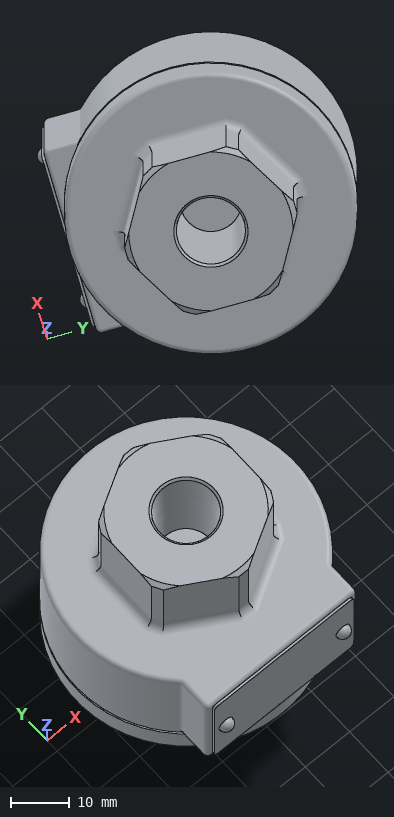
import cadquery as cq
import math

total_height = 55.0
flange_bottom = 11.5
flange_top = 17.5
body_bottom = 18.2
body_top = 39.0
body_height = body_top - body_bottom

disc_radius = 50.0 / 2
edge_radius = 1.0
underside_inset = 2.2

pad_width = 34.0
pad_bottom_radius = 0.7

plate_width = 31.5
plate_height = 20.0
plate_thickness = 0.5
plate_center_z = 28.5
pin_head_radius = 1.51
pin_spacing = 26.4

hex_across_flats = 27.05
hex_across_corners = 30.0
hex_root_radius = 2.0
end_face_radius = 14.0
end_chamfer_angle = 30.0

bore_mouth_radius = 5.9
bore_end_radius = 5.2
bore_depth = 19.25
countersink_radius = 6.3


def make_disc(bottom, top):
    return cq.Workplane("XY").workplane(offset=bottom).circle(disc_radius).extrude(top - bottom)


def make_pad():
    """Pad that flares into the round body, rounded along its front corners and bottom rim."""
    half_width = pad_width / 2
    flare_x = half_width + edge_radius
    flare_y = -math.sqrt((disc_radius + edge_radius) ** 2 - flare_x**2)
    contact_ratio = disc_radius / (disc_radius + edge_radius)
    contact = (flare_x * contact_ratio, flare_y * contact_ratio)
    middle_angle = (math.pi + math.atan2(-flare_y, -flare_x)) / 2
    arc_middle = (
        flare_x + edge_radius * math.cos(middle_angle),
        flare_y + edge_radius * math.sin(middle_angle),
    )
    pad = (
        cq.Workplane("XY")
        .workplane(offset=body_bottom)
        .moveTo(-half_width, -disc_radius)
        .lineTo(half_width, -disc_radius)
        .lineTo(half_width, flare_y)
        .threePointArc(arc_middle, contact)
        .lineTo(0, 0)
        .lineTo(-contact[0], contact[1])
        .threePointArc((-arc_middle[0], arc_middle[1]), (-half_width, flare_y))
        .close()
        .extrude(body_height)
    )
    pad = pad.edges("|Z and <Y").fillet(edge_radius)
    front_edge = cq.selectors.NearestToPointSelector((0, -disc_radius, body_bottom))
    return pad.edges(front_edge).fillet(pad_bottom_radius)


def make_body():
    """Round body with its pad, rounded on top and conical underneath."""
    body = make_disc(body_bottom, body_top).union(make_pad())
    body = body.faces(">Z").edges().fillet(edge_radius)
    underside = cq.Solid.makeCone(
        disc_radius - underside_inset,
        disc_radius,
        body_bottom - flange_top,
        pnt=cq.Vector(0, 0, flange_top),
    )
    return body.union(cq.Workplane(underside))


def make_flange():
    return make_disc(flange_bottom, flange_top).faces("<Z").edges().fillet(edge_radius)


def make_name_plate():
    plate = (
        cq.Workplane("XY")
        .box(plate_width, plate_thickness, plate_height)
        .edges("|Y")
        .fillet(edge_radius)
        .translate((0, -disc_radius - plate_thickness / 2, plate_center_z))
    )
    for side in (-1, 1):
        pin_center = (side * pin_spacing / 2, -disc_radius - plate_thickness, plate_center_z)
        plate = plate.union(cq.Workplane("XY").sphere(pin_head_radius).translate(pin_center))
    return plate


def flared_slab(thickness, height):
    """Slab with faces toward +X and -X that spread out in a quarter arc at its base."""
    half = thickness / 2
    foot = half + hex_root_radius
    length = 2 * hex_across_corners
    arc_inset = hex_root_radius * (1 - math.sqrt(0.5))
    return (
        cq.Workplane("XZ")
        .moveTo(-foot, 0)
        .lineTo(foot, 0)
        .threePointArc((half + arc_inset, arc_inset), (half, hex_root_radius))
        .lineTo(half, height)
        .lineTo(-half, height)
        .lineTo(-half, hex_root_radius)
        .threePointArc((-half - arc_inset, arc_inset), (-foot, 0))
        .close()
        .extrude(length / 2, both=True)
    )


def make_port(height):
    """Hexagonal port standing on Z = 0, with cut corners and a conical end chamfer."""
    port = flared_slab(hex_across_flats, height)
    for angle in (60, 120):
        port = port.intersect(flared_slab(hex_across_flats, height).rotate((0, 0, 0), (0, 0, 1), angle))
    for angle in (30, 90, 150):
        port = port.intersect(flared_slab(hex_across_corners, height).rotate((0, 0, 0), (0, 0, 1), angle))

    outer_radius = hex_across_corners
    chamfer_drop = (outer_radius - end_face_radius) * math.tan(math.radians(end_chamfer_angle))
    envelope = (
        cq.Workplane("XZ")
        .lineTo(outer_radius, 0)
        .lineTo(outer_radius, height - chamfer_drop)
        .lineTo(end_face_radius, height)
        .lineTo(0, height)
        .close()
        .revolve(360, (0, 0, 0), (0, 1, 0))
    )
    return port.intersect(envelope)


def make_bore():
    """Tapered bore with a 45 degree countersink, its mouth at Z = 0 and running down."""
    countersink_depth = countersink_radius - bore_mouth_radius
    return (
        cq.Workplane("XZ")
        .lineTo(countersink_radius, 0)
        .lineTo(bore_mouth_radius, -countersink_depth)
        .lineTo(bore_end_radius, -bore_depth)
        .lineTo(0, -bore_depth)
        .close()
        .revolve(360, (0, 0, 0), (0, 1, 0))
    )


upper_port = make_port(total_height - body_top).translate((0, 0, body_top))
lower_port = make_port(flange_bottom).mirror("XY").translate((0, 0, flange_bottom))
upper_bore = make_bore().translate((0, 0, total_height))
lower_bore = make_bore().mirror("XY")

result = (
    make_body()
    .union(make_flange())
    .union(make_name_plate())
    .union(upper_port)
    .union(lower_port)
    .cut(upper_bore)
    .cut(lower_bore)
)